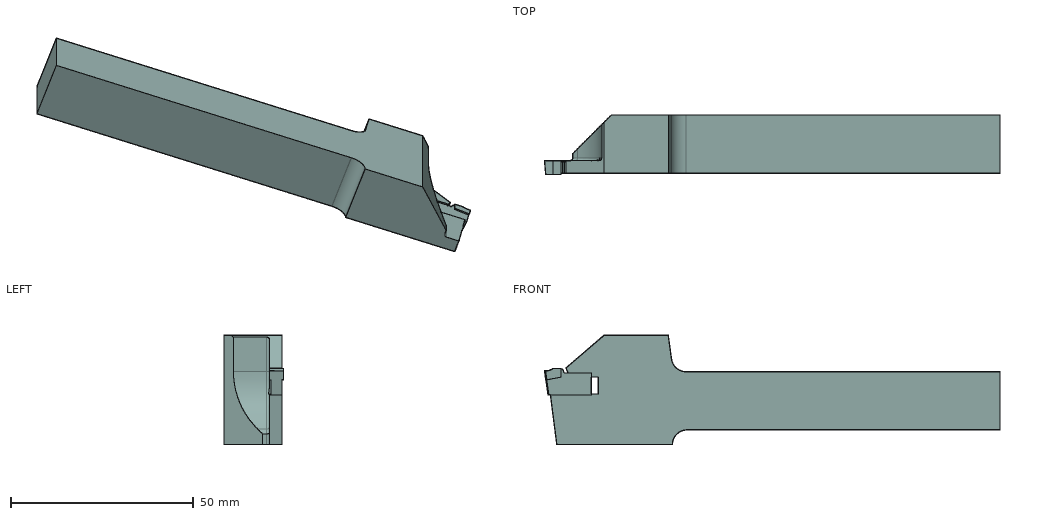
import cadquery as cq
import math

length = 124.9
depth = 16.0
head_height = 30.0
shank_bottom = 4.0
shank_top = shank_bottom + depth
head_bottom_left = 3.4
head_bottom_right = 35.1
head_top_left = 16.4
head_top_right = 34.0
lower_root_x = 35.6
upper_root_x = 35.4
root_radius = 4.0

jaw_tip = (5.9, 21.0)
jaw_heel_x = 6.5
seat_bottom = 13.6
seat_top = 19.6
seat_end = 12.9
seat_front = 1.6
slot_bottom = 13.9
slot_top = 18.5
slot_end = 14.7

blade_thickness = 3.5
relief_x = 15.7
relief_center_z = 20.0
relief_radius = 22.0
relief_arc_bottom = 4.2
relief_toe_x = 7.7
relief_fillet = 0.7
corner_offset = 2.4

insert_thickness = 3.1
head_overhang = 0.4
edge_z = 20.2
chip_groove_end = 2.4
chip_groove_middle = (1.4, 20.4)
chip_top = 20.9
cutter_end = 4.6
cutter_rear_bottom = 18.5
cutter_front_bottom = 17.6
neck_top = (5.0, 20.7)
neck_foot_x = 5.5
flank_lean = 8.0
edge_skew = 5.0

margin = 6.2


def prism(points, y_start, y_end):
    """Straight-sided XZ outline extruded from y_start to y_end."""
    plane = cq.Workplane("XZ", origin=(0, y_start, 0))
    return plane.polyline(points).close().extrude(y_start - y_end)


def make_relief_tool():
    """Space behind the blade: upright wall, concave arc, then a sloped toe."""
    center_x = relief_x - relief_radius
    drop = relief_center_z - relief_arc_bottom
    end_angle = math.asin(drop / relief_radius)
    mid_angle = end_angle / 2
    arc_middle = (
        center_x + relief_radius * math.cos(mid_angle),
        relief_center_z - relief_radius * math.sin(mid_angle),
    )
    arc_end = (center_x + relief_radius * math.cos(end_angle), relief_arc_bottom)
    toe_z = relief_arc_bottom - (arc_end[0] - relief_toe_x) / math.tan(end_angle)
    tool = (
        cq.Workplane("XZ", origin=(0, blade_thickness, 0))
        .moveTo(-margin, head_height + margin)
        .lineTo(relief_x, head_height + margin)
        .lineTo(relief_x, relief_center_z)
        .threePointArc(arc_middle, arc_end)
        .lineTo(relief_toe_x, toe_z)
        .lineTo(relief_toe_x, -margin)
        .lineTo(-margin, -margin)
        .close()
        .extrude(-(depth + margin))
    )
    return tool.faces("<Y").edges().fillet(relief_fillet)


def make_corner_tool():
    """45 degree cut across the rear front corner, over the full height."""
    outer_y = depth + margin
    return (
        cq.Workplane("XY", origin=(0, 0, -margin))
        .polyline([
            (blade_thickness + corner_offset, blade_thickness),
            (outer_y + corner_offset, outer_y),
            (-margin, outer_y),
            (-margin, blade_thickness),
        ])
        .close()
        .extrude(head_height + 2 * margin)
    )


def make_holder():
    outline = [
        (seat_front, seat_bottom),
        (head_bottom_left, 0),
        (head_bottom_right, 0),
        (lower_root_x, shank_bottom),
        (length, shank_bottom),
        (length, shank_top),
        (upper_root_x, shank_top),
        (head_top_right, head_height),
        (head_top_left, head_height),
        jaw_tip,
        (jaw_heel_x, seat_top),
        (seat_end, seat_top),
        (seat_end, slot_top),
        (slot_end, slot_top),
        (slot_end, slot_bottom),
        (seat_end, slot_bottom),
        (seat_end, seat_bottom),
    ]
    holder = prism(outline, 0, depth)
    for root in [(lower_root_x, shank_bottom), (upper_root_x, shank_top)]:
        root_edge = cq.selectors.NearestToPointSelector((root[0], depth / 2, root[1]))
        holder = holder.edges("|Y").edges(root_edge).fillet(root_radius)
    return holder.cut(make_relief_tool()).cut(make_corner_tool())


def make_insert():
    bar = prism(
        [(0, seat_bottom), (seat_end, seat_bottom), (seat_end, seat_top), (0, seat_top)],
        0,
        insert_thickness,
    )
    cutter = (
        cq.Workplane("XZ", origin=(0, -head_overhang, 0))
        .moveTo(0, cutter_front_bottom)
        .lineTo(cutter_end, cutter_rear_bottom)
        .lineTo(cutter_end, chip_top)
        .lineTo(chip_groove_end, chip_top)
        .threePointArc(chip_groove_middle, (0, edge_z))
        .close()
        .extrude(-(insert_thickness + 2 * head_overhang))
    )
    neck = prism(
        [(cutter_end, seat_top), (neck_foot_x, seat_top), neck_top, (cutter_end, neck_top[1])],
        0,
        insert_thickness,
    )
    flank_size = 4 * margin
    flank_tool = (
        cq.Workplane("XY")
        .box(flank_size, flank_size, flank_size)
        .translate((-flank_size / 2, 0, 0))
        .rotate((0, 0, 0), (0, 1, 0), -flank_lean)
        .rotate((0, 0, 0), (0, 0, 1), edge_skew)
        .translate((0, insert_thickness + head_overhang, edge_z))
    )
    return bar.union(cutter).union(neck).cut(flank_tool)


holder = make_holder()
insert = make_insert()
result = cq.Compound.makeCompound([*holder.solids().vals(), *insert.solids().vals()])